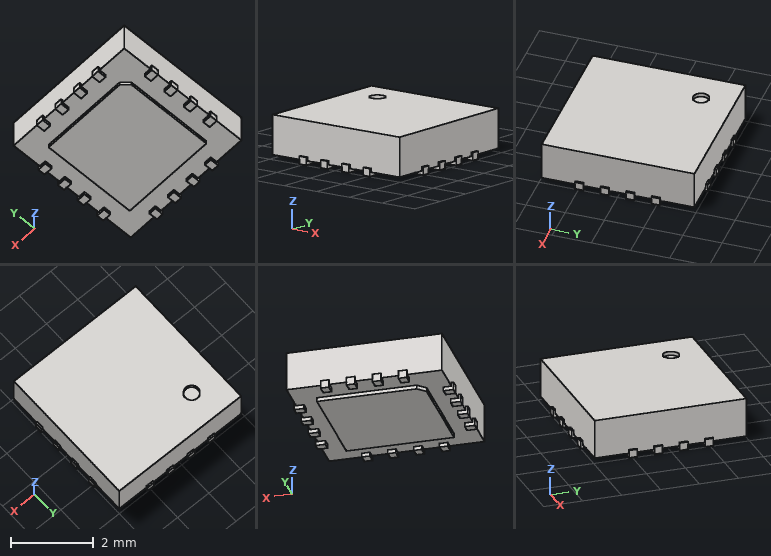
import cadquery as cq

lead_span = 4.0
overall_height = 1.1
standoff = 0.1

body_side = 3.9
body_height = overall_height - standoff

leads_per_side = 4
lead_row_length = 2.16
lead_width = 0.21
lead_pitch = (lead_row_length - lead_width) / (leads_per_side - 1)
lead_height = 2 * standoff
lead_foot = 0.2
lead_protrusion = (lead_span - body_side) / 2
lead_length = lead_foot + lead_protrusion

pad_side = 2.7
pad_corner_cut = 0.2

mark_diameter = 0.4
mark_depth = 0.1
mark_offset = 1.1


def block(length, width, height, bottom):
    """Box centred on the Z axis with its underside at the given height."""
    return (
        cq.Workplane("XY")
        .box(length, width, height, centered=(True, True, False))
        .translate((0, 0, bottom))
    )


def make_body():
    body = block(body_side, body_side, body_height, standoff)
    mark = (
        cq.Workplane("XY")
        .workplane(offset=overall_height - mark_depth)
        .center(-mark_offset, mark_offset)
        .circle(mark_diameter / 2)
        .extrude(mark_depth)
    )
    return body.cut(mark)


def make_thermal_pad():
    """Square pad with the pin-one corner cut off."""
    pad = block(pad_side, pad_side, standoff, 0)
    return pad.edges("|Z").edges("<X").edges(">Y").chamfer(pad_corner_cut)


def make_lead_row():
    """Leads along the +X side, evenly spaced about its middle."""
    lead = block(lead_length, lead_width, lead_height, 0)
    lead_center = (lead_span - lead_length) / 2
    row = cq.Workplane("XY")
    for index in range(leads_per_side):
        along = (index - (leads_per_side - 1) / 2) * lead_pitch
        row = row.add(lead.translate((lead_center, along, 0)))
    return row.combine()


package = make_body().union(make_thermal_pad())
lead_row = make_lead_row()
for angle in (0, 90, 180, 270):
    package = package.union(lead_row.rotate((0, 0, 0), (0, 0, 1), angle))

result = package